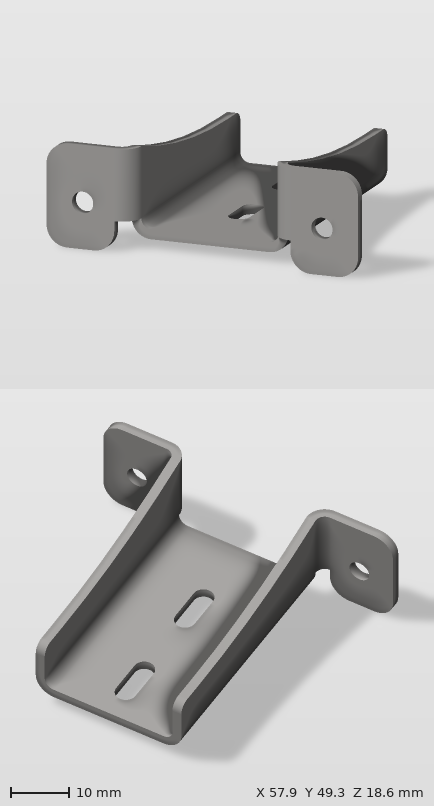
import cadquery as cq
import math

thickness = 1.8
inner_bend = 1.8
outer_bend = inner_bend + thickness

total_width = 57.9
total_length = 49.3
total_height = 18.55

channel_width = 29.1
floor_bottom = 2.0
wall_front = outer_bend
wall_bottom = floor_bottom + outer_bend
rear_height = 13.05
rear_corner_radius = 1.95
rear_flat_length = 5.85

tab_inner_edge = channel_width / 2 + inner_bend
tab_width = total_width / 2 - tab_inner_edge
tab_corner_radius = 3.8
tab_hole_diameter = 3.95
tab_hole_x = 22.25
tab_hole_z = 8.35

slot_width = 3.8
slot_length = 10.1
slot_pitch = 20.15
rear_slot_y = total_length - 9.0


def make_channel():
    """U-section with constant thickness, running along Y and centred on X = 0."""
    height = total_height - floor_bottom
    length = total_length - wall_front

    def section(width, bottom, bend):
        return (
            cq.Workplane("XY")
            .box(width, length, height, centered=(True, False, False))
            .edges("|Y and <Z")
            .fillet(bend)
            .translate((0, wall_front, bottom))
        )

    outside = section(channel_width, floor_bottom, outer_bend)
    inside = section(channel_width - 2 * thickness, floor_bottom + thickness, inner_bend)
    return outside.cut(inside)


def make_side_profile():
    """Block whose top follows the wall edge: a rear flat that sweeps up in a tangent arc."""
    arc_rear = total_length - rear_flat_length
    arc_length = arc_rear - wall_front
    arc_rise = total_height - rear_height
    arc_radius = (arc_length**2 + arc_rise**2) / (2 * arc_rise)
    half_angle = math.asin(arc_length / arc_radius) / 2
    arc_middle = (
        arc_rear - arc_radius * math.sin(half_angle),
        rear_height + arc_radius * (1 - math.cos(half_angle)),
    )
    corner_offset = rear_corner_radius * (1 - math.sqrt(0.5))
    return (
        cq.Workplane("YZ")
        .moveTo(wall_front, floor_bottom)
        .lineTo(wall_front, total_height)
        .threePointArc(arc_middle, (arc_rear, rear_height))
        .lineTo(total_length - rear_corner_radius, rear_height)
        .threePointArc(
            (total_length - corner_offset, rear_height - corner_offset),
            (total_length, rear_height - rear_corner_radius),
        )
        .lineTo(total_length, floor_bottom)
        .close()
        .extrude(channel_width / 2, both=True)
    )


def make_tab_bend():
    """Vertical quarter bend that turns the right wall outward into its tab."""
    height = total_height - wall_bottom
    ring = (
        cq.Workplane("XY", origin=(tab_inner_edge, wall_front, wall_bottom))
        .circle(outer_bend)
        .circle(inner_bend)
        .extrude(height)
    )
    quarter = (
        cq.Workplane("XY")
        .box(outer_bend, outer_bend, height, centered=False)
        .translate((tab_inner_edge - outer_bend, 0, wall_bottom))
    )
    return ring.intersect(quarter)


def make_tab():
    """Right mounting tab; its top inner corner stays square where it meets the bend."""
    tab = (
        cq.Workplane("XY")
        .box(tab_width, thickness, total_height, centered=False)
        .translate((tab_inner_edge, 0, 0))
        .edges("|Y and (>X or <Z)")
        .fillet(tab_corner_radius)
    )
    hole = (
        cq.Workplane("XZ", origin=(tab_hole_x, 0, tab_hole_z))
        .circle(tab_hole_diameter / 2)
        .extrude(-thickness)
    )
    return tab.cut(hole)


def make_slots():
    """Two slots through the floor, lengthwise on the centreline."""
    return (
        cq.Workplane("XY", origin=(0, 0, floor_bottom))
        .pushPoints([(0, rear_slot_y), (0, rear_slot_y - slot_pitch)])
        .slot2D(slot_length, slot_width, 90)
        .extrude(thickness)
    )


channel = make_channel().intersect(make_side_profile()).cut(make_slots())
right_flange = make_tab_bend().union(make_tab())
left_flange = right_flange.mirror("YZ")
result = channel.union(right_flange).union(left_flange)